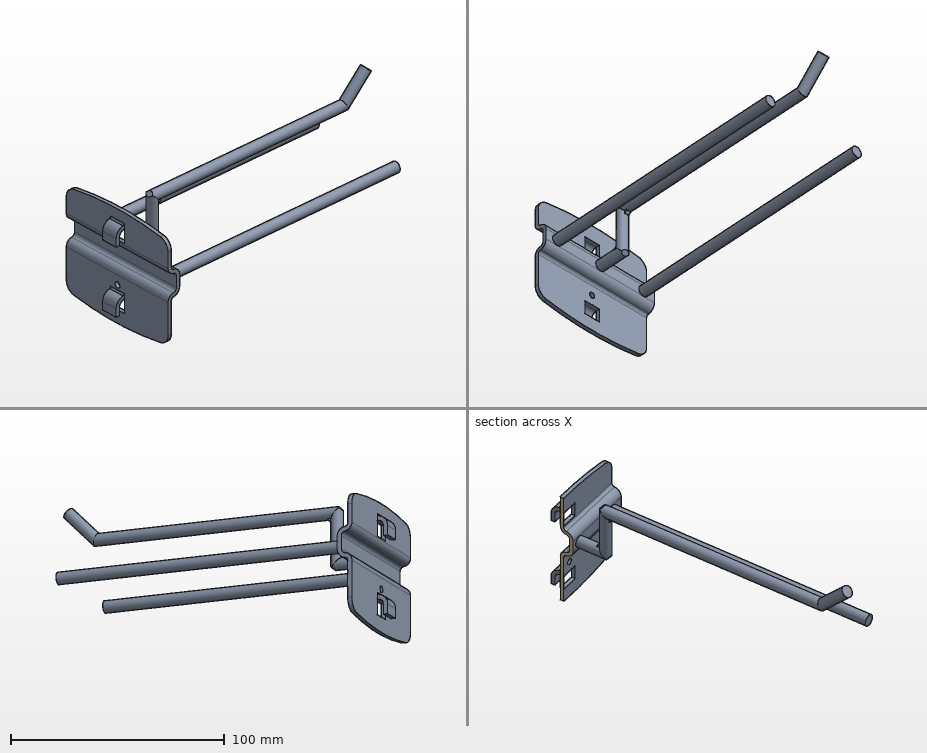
import cadquery as cq
import math


overall_depth = 166.5
overall_height = 76.8

plate_width = 70.0
plate_top = 26.8
plate_bottom = -35.6
crown_rise = 3.3
corner_radius = 6.3
sheet = 2.2

channel_back = 7.5
channel_half_flat = 3.2
channel_inner_radius = 2.2
lip_inner_radius = 1.7

hook_width = 9.3
hook_centre_x = 0.25
hook_reach = 5.2
hook_root_rise = 1.0
hook_root_depth = 0.7
hook_arc_z = 14.7
hook_drop = 4.7
hook_pitch = 38.1
hole_diameter = 3.2
hole_z = -14.7

rod_diameter = 6.0
rod_radius = rod_diameter / 2
side_rod_x = 27.8
lower_rod_z = -0.2
side_rod_end = 152.5
upright_y = 22.5
upper_rod_z = 24.6
tip_angle = math.radians(45)
tip_y = overall_depth - hook_reach
tip_z = overall_height + plate_bottom
rod_start = channel_back - sheet / 2
elbow_chamfer = 2.2
elbow_web = 1.3
elbow_web_width = 2.7


def add_bent_face(wire, side, channel_radius, lip_radius):
    """Continue a YZ outline from the plate end at side (+1 top, -1 bottom) to the other end."""
    channel_arc_y = channel_back - sheet - channel_inner_radius
    lip_arc_y = sheet + lip_inner_radius
    centre_distance = channel_inner_radius + sheet + lip_inner_radius
    centre_step_y = lip_arc_y - channel_arc_y
    lip_arc_z = channel_half_flat + math.sqrt(centre_distance**2 - centre_step_y**2)
    join_angle = math.acos(centre_step_y / centre_distance)

    def channel_point(angle, end):
        y = channel_arc_y + channel_radius * math.cos(angle)
        return y, end * (channel_half_flat + channel_radius * math.sin(angle))

    def lip_point(angle, end):
        y = lip_arc_y - lip_radius * math.cos(angle)
        return y, end * (lip_arc_z - lip_radius * math.sin(angle))

    middle = join_angle / 2
    return (
        wire.lineTo(*lip_point(0, side))
        .threePointArc(lip_point(middle, side), lip_point(join_angle, side))
        .threePointArc(channel_point(middle, side), channel_point(0, side))
        .lineTo(*channel_point(0, -side))
        .threePointArc(channel_point(middle, -side), channel_point(join_angle, -side))
        .threePointArc(lip_point(middle, -side), lip_point(0, -side))
    )


def make_plate():
    """Bent sheet trimmed to a crowned, round-cornered outline."""
    wire = cq.Workplane("YZ", origin=(-plate_width / 2, 0, 0)).moveTo(0, plate_top)
    wire = add_bent_face(wire, 1, channel_inner_radius, lip_inner_radius + sheet)
    wire = wire.lineTo(0, plate_bottom).lineTo(sheet, plate_bottom)
    wire = add_bent_face(wire, -1, channel_inner_radius + sheet, lip_inner_radius)
    bent_sheet = wire.lineTo(sheet, plate_top).close().extrude(plate_width)

    half_width = plate_width / 2
    shoulder_top = plate_top - crown_rise
    shoulder_bottom = plate_bottom + crown_rise
    outline = (
        cq.Workplane("XZ")
        .moveTo(-half_width, shoulder_top)
        .threePointArc((0, plate_top), (half_width, shoulder_top))
        .lineTo(half_width, shoulder_bottom)
        .threePointArc((0, plate_bottom), (-half_width, shoulder_bottom))
        .close()
        .extrude(-channel_back)
        .edges("|Y")
        .fillet(corner_radius)
    )
    return bent_sheet.intersect(outline)


def make_hook_window(drop):
    """Opening left in the sheet by a hook, lowered by drop."""
    top = hook_arc_z + hook_reach + hook_root_rise - drop
    height = hook_reach + hook_root_rise + hook_drop
    return cq.Workplane("XY").box(hook_width, sheet, height, centered=(True, False, False)).translate(
        (hook_centre_x, 0, top - height)
    )


def make_hook(drop):
    """Strip curving forwards and down out of the sheet, lowered by drop."""
    inner_radius = hook_reach - sheet
    root_top = hook_arc_z + hook_reach + hook_root_rise
    root_angle = math.asin(hook_root_depth / hook_reach)
    middle = (root_angle + math.pi / 2) / 2
    diagonal = math.sqrt(0.5)
    outer_middle = (-hook_reach * math.sin(middle), hook_arc_z + hook_reach * math.cos(middle))
    tip = hook_arc_z - hook_drop
    return (
        cq.Workplane("YZ", origin=(hook_centre_x, 0, -drop))
        .moveTo(sheet, root_top)
        .lineTo(0, root_top)
        .lineTo(-hook_root_depth, hook_arc_z + hook_reach * math.cos(root_angle))
        .threePointArc(outer_middle, (-hook_reach, hook_arc_z))
        .lineTo(-hook_reach, tip)
        .lineTo(-inner_radius, tip)
        .lineTo(-inner_radius, hook_arc_z)
        .threePointArc(
            (-inner_radius * diagonal, hook_arc_z + inner_radius * diagonal),
            (0, hook_arc_z + inner_radius),
        )
        .lineTo(sheet, hook_arc_z + inner_radius)
        .close()
        .extrude(hook_width / 2, both=True)
    )


def make_rod(start, end):
    """Round bar between the centres of its two flat ends."""
    axis = cq.Vector(*end) - cq.Vector(*start)
    return cq.Workplane(obj=cq.Solid.makeCylinder(rod_radius, axis.Length, cq.Vector(*start), axis))


def make_bent_rod():
    """Bar leaving the channel, stepping up, running back and ending in a raised tip."""
    cap_offset = rod_radius * math.sin(tip_angle)
    cap_y = tip_y - cap_offset
    cap_z = tip_z - rod_radius * math.cos(tip_angle)
    tip_bend_y = cap_y - (cap_z - upper_rod_z) / math.tan(tip_angle)
    path = (
        cq.Workplane("YZ")
        .moveTo(rod_start, lower_rod_z)
        .lineTo(upright_y, lower_rod_z)
        .lineTo(upright_y, upper_rod_z)
        .lineTo(tip_bend_y, upper_rod_z)
        .lineTo(cap_y, cap_z)
    )
    section = cq.Workplane("XZ", origin=(0, rod_start, lower_rod_z)).circle(rod_radius)
    rod = section.sweep(path, transition="right")

    for elbow_z, direction in ((lower_rod_z, 1), (upper_rod_z, -1)):
        outer_y = upright_y + direction * rod_radius
        outer_z = elbow_z - direction * rod_radius
        inner_y = upright_y - direction * rod_radius
        inner_z = elbow_z + direction * rod_radius
        corner = (
            cq.Workplane("YZ")
            .moveTo(outer_y, outer_z)
            .lineTo(outer_y - direction * elbow_chamfer, outer_z)
            .lineTo(outer_y, outer_z + direction * elbow_chamfer)
            .close()
            .extrude(rod_radius, both=True)
        )
        web = (
            cq.Workplane("YZ")
            .moveTo(upright_y, elbow_z)
            .lineTo(inner_y - direction * elbow_web, elbow_z)
            .lineTo(inner_y - direction * elbow_web, inner_z)
            .lineTo(inner_y, inner_z + direction * elbow_web)
            .lineTo(upright_y, inner_z + direction * elbow_web)
            .close()
            .extrude(elbow_web_width / 2, both=True)
        )
        rod = rod.cut(corner).union(web)
    return rod


result = make_plate()
for drop in (0, hook_pitch):
    result = result.cut(make_hook_window(drop)).union(make_hook(drop))

hole = (
    cq.Workplane("XZ", origin=(hook_centre_x, 0, hole_z)).circle(hole_diameter / 2).extrude(-sheet)
)
result = result.cut(hole)

for side in (-1, 1):
    rod_x = side * side_rod_x
    result = result.union(make_rod((rod_x, rod_start, lower_rod_z), (rod_x, side_rod_end, lower_rod_z)))
result = result.union(make_bent_rod())